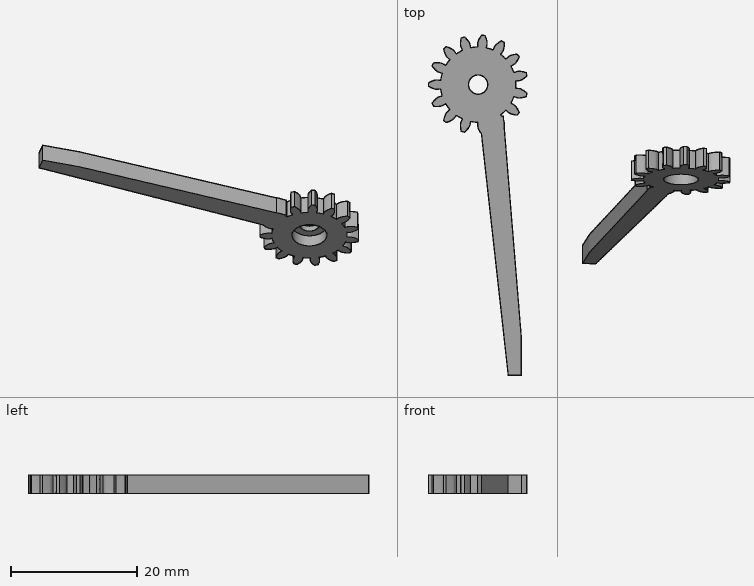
import cadquery as cq
import math

thickness = 3.0
tooth_count = 15
tip_radius = 7.855
root_radius = 5.97
pressure_angle = math.radians(20)
backlash = 0.08
first_tooth_angle = 180.0

hole_diameter = 3.0
counterbore_diameter = 5.5
counterbore_depth = 2.0

arm_end_y = -46.0
arm_end_left_x = 4.75
arm_right_x = 6.85
arm_bend_y = -40.0
arm_root_y = -5.0
arm_root_left_x = 0.2
arm_root_right_x = 4.0

module = 2 * tip_radius / (tooth_count + 2)
pitch_radius = module * tooth_count / 2
base_radius = pitch_radius * math.cos(pressure_angle)
tooth_pitch_angle = 360 / tooth_count
flank_steps = 4


def involute(angle):
    return math.tan(angle) - angle


def half_angle(radius):
    """Angle in radians from the tooth centreline to its flank at a radius on the involute."""
    half_angle_at_pitch = (math.pi * module - backlash) / (4 * pitch_radius)
    flank_angle = math.acos(min(1.0, base_radius / radius))
    return half_angle_at_pitch + involute(pressure_angle) - involute(flank_angle)


def polar(radius, angle):
    return radius * math.cos(angle), radius * math.sin(angle)


def make_tooth():
    """One tooth along +X: radial below the base circle, involute flanks, round tip."""
    base_angle = half_angle(base_radius)
    tip_angle = half_angle(tip_radius)
    tip_flank_angle = math.acos(base_radius / tip_radius)
    flank_angles = [tip_flank_angle * step / flank_steps for step in range(flank_steps + 1)]
    radii = [base_radius / math.cos(angle) for angle in flank_angles]
    lower_flank = [polar(radius, -half_angle(radius)) for radius in radii]
    upper_flank = [polar(radius, half_angle(radius)) for radius in reversed(radii)]
    return (
        cq.Workplane("XY")
        .moveTo(0, 0)
        .lineTo(*polar(base_radius, -base_angle))
        .spline(lower_flank[1:], includeCurrent=True)
        .threePointArc((tip_radius, 0), polar(tip_radius, tip_angle))
        .spline(upper_flank[1:], includeCurrent=True)
        .close()
        .extrude(thickness)
    )


def make_gear():
    gear = cq.Workplane("XY").circle(root_radius).extrude(thickness)
    tooth = make_tooth()
    for index in range(tooth_count):
        angle = first_tooth_angle + index * tooth_pitch_angle
        gear = gear.union(tooth.rotate((0, 0, 0), (0, 0, 1), angle))
    return gear


def make_arm():
    """Tapered arm with a straight right edge near its free end."""
    outline = [
        (arm_root_left_x, arm_root_y),
        (arm_end_left_x, arm_end_y),
        (arm_right_x, arm_end_y),
        (arm_right_x, arm_bend_y),
        (arm_root_right_x, arm_root_y),
    ]
    return cq.Workplane("XY").polyline(outline).close().extrude(thickness)


def make_pivot_hole():
    hole = cq.Workplane("XY").circle(hole_diameter / 2).extrude(thickness)
    counterbore = cq.Workplane("XY").circle(counterbore_diameter / 2).extrude(counterbore_depth)
    return hole.union(counterbore)


result = make_gear().union(make_arm()).cut(make_pivot_hole())